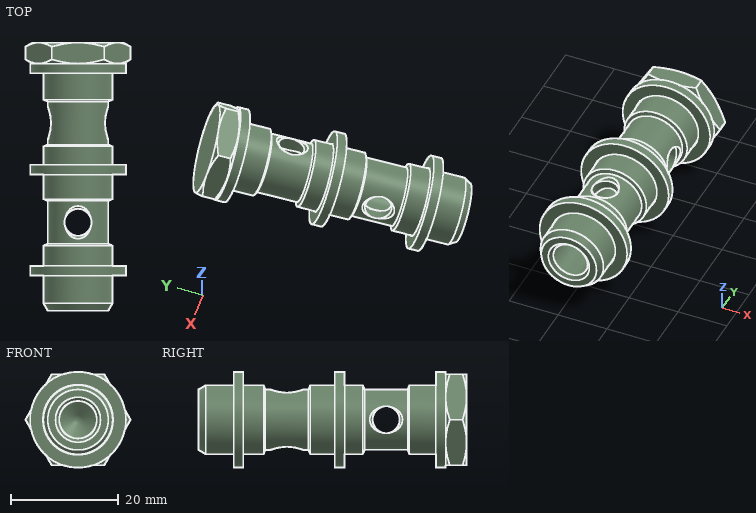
import cadquery as cq
import math

overall_length = 50.0

head_across_flats = 17.0
head_height = 3.9
head_chamfer_angle = 30.0
shank_length = overall_length - head_height

shank_radius = 12.9 / 2
tip_radius = 11.3 / 2
tip_chamfer_angle = 30.0

neck_radius = tip_radius
neck_length = 8.0
neck_shoulder_length = 0.35
first_neck_y = -11.1
neck_pitch = 18.5
second_neck_y = first_neck_y - neck_pitch
cross_hole_radius = 5.0 / 2
cross_hole_countersink_radius = 6.1 / 2

bore_radius = 7.0 / 2
bore_mouth_radius = 8.4 / 2
bore_end_margin = 1.0
bore_end_y = first_neck_y + cross_hole_radius + bore_end_margin
drill_point_angle = 118.0

washer_outer_radius = 17.9 / 2
washer_inner_radius = 13.1 / 2
washer_thickness = 1.85
banjo_thickness = 17.0
washer_count = 3
washer_pitch = washer_thickness + banjo_thickness


def revolve_about_y(points):
    """Turn a closed (radius, y) outline, drawn in the Y-Z plane, about the bolt axis."""
    outline_plane = cq.Plane(origin=(0, 0, 0), xDir=(0, 0, 1), normal=(-1, 0, 0))
    return cq.Workplane(outline_plane).polyline(points).close().revolve(360, (0, 0, 0), (0, 1, 0))


def make_head():
    """Hexagon with corners on +-X, both ends chamfered by a cone that touches the flats."""
    corner_radius = head_across_flats / 2 / math.cos(math.radians(30))
    flat_radius = head_across_flats / 2
    chamfer_height = (corner_radius - flat_radius) * math.tan(math.radians(head_chamfer_angle))
    hexagon = cq.Workplane("XZ").polygon(6, 2 * corner_radius).extrude(-head_height)
    envelope = revolve_about_y([
        (0, 0),
        (flat_radius, 0),
        (corner_radius, chamfer_height),
        (corner_radius, head_height - chamfer_height),
        (flat_radius, head_height),
        (0, head_height),
    ])
    return hexagon.intersect(envelope)


def make_shank():
    """Cylinder from the head underside to the chamfered tip."""
    chamfer_length = (shank_radius - tip_radius) / math.tan(math.radians(tip_chamfer_angle))
    return revolve_about_y([
        (0, 0),
        (shank_radius, 0),
        (shank_radius, chamfer_length - shank_length),
        (tip_radius, -shank_length),
        (0, -shank_length),
    ])


def make_neck_groove(center_y):
    """Ring that cuts a neck with sloping shoulders into the shank."""
    half_floor = neck_length / 2
    half_mouth = half_floor + neck_shoulder_length
    return revolve_about_y([
        (neck_radius, center_y - half_floor),
        (shank_radius, center_y - half_mouth),
        (shank_radius, center_y + half_mouth),
        (neck_radius, center_y + half_floor),
    ])


def make_bore():
    """Blind bore with a 45 degree mouth chamfer and a conical drill point."""
    mouth_depth = bore_mouth_radius - bore_radius
    point_length = bore_radius / math.tan(math.radians(drill_point_angle / 2))
    return revolve_about_y([
        (0, -shank_length),
        (bore_mouth_radius, -shank_length),
        (bore_radius, mouth_depth - shank_length),
        (bore_radius, bore_end_y),
        (0, bore_end_y + point_length),
    ])


def make_cross_hole():
    """Cutter along Y at the origin: a through hole with a 45 degree countersink at each end."""
    rim = neck_radius - (cross_hole_countersink_radius - cross_hole_radius)
    outer_radius = cross_hole_radius + shank_radius - rim
    return revolve_about_y([
        (0, -shank_radius),
        (outer_radius, -shank_radius),
        (cross_hole_radius, -rim),
        (cross_hole_radius, rim),
        (outer_radius, shank_radius),
        (0, shank_radius),
    ])


def make_bolt():
    bolt = make_head().union(make_shank())
    for neck_y in (first_neck_y, second_neck_y):
        bolt = bolt.cut(make_neck_groove(neck_y))
    bolt = bolt.cut(make_bore())
    cross_hole = make_cross_hole()
    hole_along_x = cross_hole.rotate((0, 0, 0), (0, 0, 1), 90).translate((0, first_neck_y, 0))
    hole_along_z = cross_hole.rotate((0, 0, 0), (1, 0, 0), 90).translate((0, second_neck_y, 0))
    return bolt.cut(hole_along_x).cut(hole_along_z)


def make_washer(top_y):
    """Flat ring with a slight clearance around the shank, with its head-side face at top_y."""
    ring = cq.Workplane("XZ", origin=(0, top_y, 0)).circle(washer_outer_radius).circle(washer_inner_radius)
    return ring.extrude(washer_thickness)


bolt = make_bolt()
washers = [make_washer(-index * washer_pitch) for index in range(washer_count)]

result = cq.Compound.makeCompound([bolt.val(), *[washer.val() for washer in washers]])